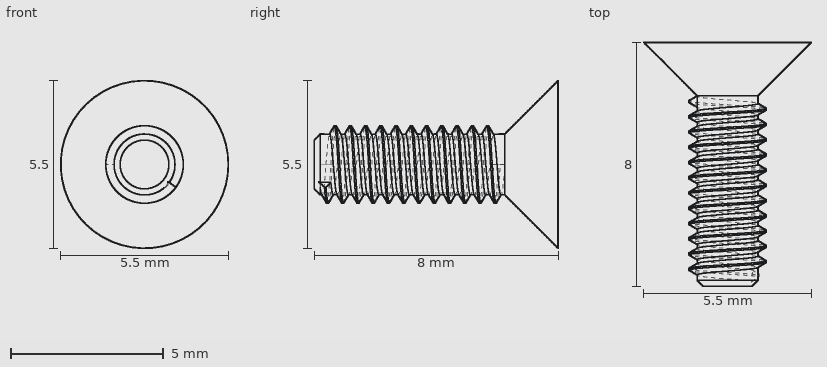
import cadquery as cq
import math

length = 8.0
head_radius = 2.75
core_radius = 1.0
tip_chamfer = 0.2
head_height = head_radius - core_radius

thread_radius = 1.27
pitch = 0.5
turns = 11.4
root_width = 0.37
flank_angle = 30.0
root_overlap = 0.04
thread_start_y = length - head_height - root_width / 2


def make_body():
    """Revolve the head, core and chamfered tip in one piece."""
    outline = [
        (0, 0),
        (core_radius - tip_chamfer, 0),
        (core_radius, tip_chamfer),
        (core_radius, length - head_height),
        (head_radius, length),
        (0, length),
    ]
    return cq.Workplane("XY").polyline(outline).close().revolve(360, (0, 0, 0), (0, 1, 0))


def make_thread():
    """Sweep the ridge from the -X side of the head end towards the tip."""
    buried_radius = core_radius - root_overlap
    flank_slope = math.tan(math.radians(flank_angle))
    buried_half_width = root_width / 2 + root_overlap * flank_slope
    crest_half_width = root_width / 2 - (thread_radius - core_radius) * flank_slope
    ridge = [
        (buried_radius, -buried_half_width),
        (thread_radius, -crest_half_width),
        (thread_radius, crest_half_width),
        (buried_radius, buried_half_width),
    ]
    helix = cq.Workplane(cq.Wire.makeHelix(pitch, turns * pitch, core_radius))
    thread = cq.Workplane("XZ").polyline(ridge).close().sweep(helix, isFrenet=True)
    start_plane = cq.Plane(origin=(0, thread_start_y, 0), xDir=(-1, 0, 0), normal=(0, -1, 0))
    return cq.Workplane(thread.val().moved(start_plane.location))


result = make_body().union(make_thread())